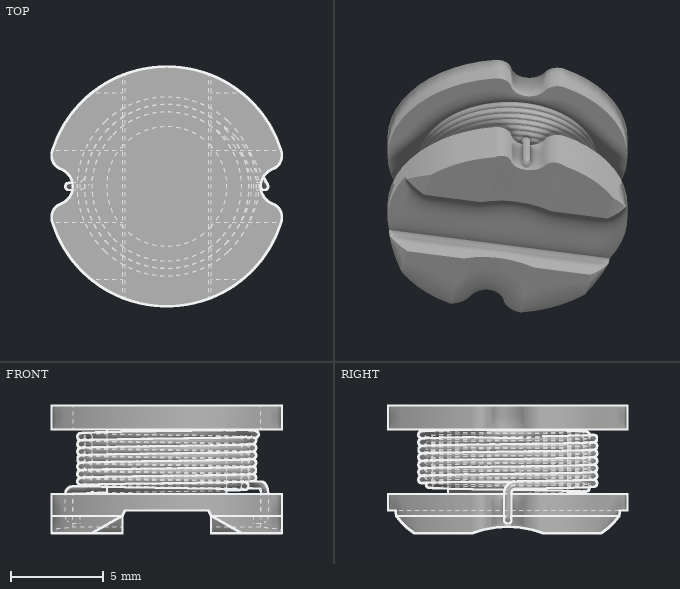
import cadquery as cq
import math

flange_radius = 6.5
notch_radius = 1.0
notch_floor_x = 5.09
lobe_radius = 0.8
post_radius = 3.25
height = 6.94
terminal_height = 0.96
lower_flange_top = 2.15
upper_flange_bottom = 5.62

channel_half_width = 2.39
channel_roof_half_width = 2.26
channel_roof_z = 1.24

terminal_flat_end_y = 5.05
rim_cut_sagitta = 0.06
recess_half_width = 1.95
recess_depth = 0.36

wire_radius = 0.2
outer_layer_radius = 4.65
outer_end_angle = 329.4 + 6 * 360
outer_zero_z = 2.62
outer_pitch = 0.404
inner_layer_radius = 4.24
inner_start_angle = 60.0
inner_end_angle = 172.0 + 7 * 360
inner_start_z = 5.36
inner_end_z = 2.37
crossover_x = 4.7
crossover_y = -0.8
lead_x = 5.3
outer_start_angle = math.degrees(math.acos(outer_layer_radius / lead_x))
lead_foot_z = 0.73
lead_end_x = 4.7
foot_setback = 0.24
left_shoulder_setback = 0.22
right_shoulder_setback = 0.45
shortest_straight = 1e-4


def flange_outline(bottom_z):
    """Circle with a lobed notch on both X sides; all the arcs are tangent."""
    notch_x = notch_floor_x + notch_radius
    lobe_to_axis = flange_radius - lobe_radius
    lobe_to_notch = notch_radius + lobe_radius
    lobe_x = (lobe_to_axis**2 - lobe_to_notch**2 + notch_x**2) / (2 * notch_x)
    lobe_y = math.sqrt(lobe_to_axis**2 - lobe_x**2)
    rim_x = lobe_x * flange_radius / lobe_to_axis
    rim_y = lobe_y * flange_radius / lobe_to_axis
    neck_x = notch_x + (lobe_x - notch_x) * notch_radius / lobe_to_notch
    neck_y = lobe_y * notch_radius / lobe_to_notch
    tip_x = lobe_x + lobe_radius
    return (
        cq.Workplane("XY", origin=(0, 0, bottom_z))
        .moveTo(rim_x, rim_y)
        .threePointArc((0, flange_radius), (-rim_x, rim_y))
        .threePointArc((-tip_x, lobe_y), (-neck_x, neck_y))
        .threePointArc((-notch_floor_x, 0), (-neck_x, -neck_y))
        .threePointArc((-tip_x, -lobe_y), (-rim_x, -rim_y))
        .threePointArc((0, -flange_radius), (rim_x, -rim_y))
        .threePointArc((tip_x, -lobe_y), (neck_x, -neck_y))
        .threePointArc((notch_floor_x, 0), (neck_x, neck_y))
        .threePointArc((tip_x, lobe_y), (rim_x, rim_y))
        .close()
    )


def make_core():
    lower_flange = flange_outline(terminal_height).extrude(lower_flange_top - terminal_height)
    channel = (
        cq.Workplane("XZ")
        .polyline([
            (-channel_half_width, terminal_height),
            (-channel_roof_half_width, channel_roof_z),
            (channel_roof_half_width, channel_roof_z),
            (channel_half_width, terminal_height),
        ])
        .close()
        .extrude(flange_radius, both=True)
    )
    post = (
        cq.Workplane("XY", origin=(0, 0, lower_flange_top))
        .circle(post_radius)
        .extrude(upper_flange_bottom - lower_flange_top)
    )
    upper_flange = flange_outline(upper_flange_bottom).extrude(height - upper_flange_bottom)
    return lower_flange.cut(channel).union(post).union(upper_flange)


def make_terminal(side):
    """Pad under the lower flange; side is -1 or +1 along X."""
    rim_y = math.sqrt(flange_radius**2 - channel_half_width**2)
    underside = (
        cq.Workplane("YZ", origin=(side * channel_half_width, 0, 0))
        .moveTo(-flange_radius, terminal_height)
        .lineTo(-rim_y, terminal_height)
        .sagittaArc((-terminal_flat_end_y, 0), -rim_cut_sagitta)
        .lineTo(-recess_half_width, 0)
        .threePointArc((0, recess_depth), (recess_half_width, 0))
        .lineTo(terminal_flat_end_y, 0)
        .sagittaArc((rim_y, terminal_height), -rim_cut_sagitta)
        .lineTo(flange_radius, terminal_height)
        .close()
        .extrude(side * flange_radius)
    )
    return flange_outline(0).extrude(terminal_height).intersect(underside)


def helix_point(radius, angle, z):
    turn = math.radians(angle)
    return cq.Vector(radius * math.cos(turn), radius * math.sin(turn), z)


def helix_direction(radius, angle, rise_per_turn):
    """Unit tangent in the winding direction, counterclockwise seen from above."""
    turn = math.radians(angle)
    rise = rise_per_turn / (2 * math.pi * radius)
    return cq.Vector(-math.sin(turn), math.cos(turn), rise).normalized()


def helix_edges(radius, low_angle, span, low_z, pitch, lefthand):
    """Helix climbing from low_z at low_angle through span degrees, clockwise if lefthand."""
    helix = cq.Wire.makeHelix(pitch, pitch * span / 360, radius, lefthand=lefthand)
    z_axis = cq.Vector(0, 0, 1)
    turned = helix.rotate(cq.Vector(), z_axis, low_angle)
    return turned.translate(z_axis * low_z).Edges()


def rounded_path(points, setbacks):
    """Straight runs through points, with each inner corner rounded by a tangent arc."""
    edges = []
    start = points[0]
    for corner, following, setback in zip(points[1:-1], points[2:], setbacks):
        arrival = (corner - start).normalized()
        departure = (following - corner).normalized()
        bend_start = corner - arrival * setback
        bend_end = corner + departure * setback
        if (bend_start - start).Length > shortest_straight:
            edges.append(cq.Edge.makeLine(start, bend_start))
        edges.append(cq.Edge.makeTangentArc(bend_start, arrival, bend_end))
        start = bend_end
    edges.append(cq.Edge.makeLine(start, points[-1]))
    return edges


def lead_foot(side):
    """Lower corner of a lead and its end inside the terminal."""
    return [
        cq.Vector(side * lead_x, 0, lead_foot_z),
        cq.Vector(side * lead_end_x, 0, lead_foot_z),
    ]


def make_wire():
    outer_start_z = outer_zero_z + outer_pitch * outer_start_angle / 360
    outer_end_z = outer_zero_z + outer_pitch * outer_end_angle / 360
    outer_span = outer_end_angle - outer_start_angle
    inner_span = inner_end_angle - inner_start_angle
    inner_pitch = (inner_start_z - inner_end_z) * 360 / inner_span

    outer_layer = helix_edges(
        outer_layer_radius, outer_start_angle, outer_span, outer_start_z, outer_pitch, lefthand=False
    )
    inner_layer = helix_edges(
        inner_layer_radius, inner_end_angle, inner_span, inner_end_z, inner_pitch, lefthand=True
    )

    crossover = cq.Edge.makeSpline(
        [
            helix_point(outer_layer_radius, outer_end_angle, outer_end_z),
            cq.Vector(crossover_x, crossover_y, (outer_end_z + inner_start_z) / 2),
            helix_point(inner_layer_radius, inner_start_angle, inner_start_z),
        ],
        tangents=[
            helix_direction(outer_layer_radius, outer_end_angle, outer_pitch),
            helix_direction(inner_layer_radius, inner_start_angle, -inner_pitch),
        ],
    )

    right_start = helix_point(outer_layer_radius, outer_start_angle, outer_start_z)
    right_run = helix_direction(outer_layer_radius, outer_start_angle, outer_pitch) * -1
    right_shoulder = right_start + right_run * (-right_start.y / right_run.y)
    right_lead = rounded_path(
        [right_start, right_shoulder] + lead_foot(1),
        [right_shoulder_setback, foot_setback],
    )

    left_start = helix_point(inner_layer_radius, inner_end_angle, inner_end_z)
    left_run = helix_direction(inner_layer_radius, inner_end_angle, -inner_pitch)
    left_turn_length = -left_start.y / left_run.y
    left_turn = left_start + left_run * left_turn_length
    left_shoulder = cq.Vector(-lead_x, 0, left_turn.z)
    left_lead = rounded_path(
        [left_start, left_turn, left_shoulder] + lead_foot(-1),
        [left_turn_length, left_shoulder_setback, foot_setback],
    )

    path = cq.Wire.assembleEdges(
        right_lead[::-1] + outer_layer + [crossover] + inner_layer[::-1] + left_lead
    )
    return (
        cq.Workplane("YZ", origin=(lead_end_x, 0, lead_foot_z))
        .circle(wire_radius)
        .sweep(cq.Workplane(path), isFrenet=True)
    )


wire = make_wire()
core = make_core()
terminals = [make_terminal(side).cut(wire) for side in (-1, 1)]

result = cq.Compound.makeCompound([core.val(), wire.val(), *[terminal.val() for terminal in terminals]])